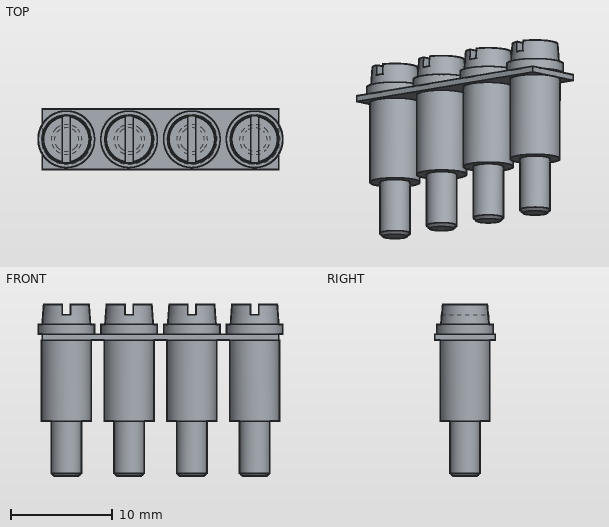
import cadquery as cq

screw_count = 4
overall_length = 24.2
overall_height = 17.0
flange_diameter = 5.6
pitch = (overall_length - flange_diameter) / (screw_count - 1)

plate_length = 23.4
plate_width = 6.0
plate_thickness = 0.58

head_base_diameter = 4.8
head_top_diameter = 4.5
head_height = 1.98
slot_width = 0.8
slot_depth = 1.02
flange_thickness = 0.97

sleeve_diameter = 4.94
sleeve_length = 8.0
pin_diameter = 3.0
tip_chamfer = 0.31

flange_top = overall_height - head_height
plate_top = flange_top - flange_thickness
plate_bottom = plate_top - plate_thickness
sleeve_bottom = plate_bottom - sleeve_length


def make_screw():
    """One screw on the Z axis: a revolved stepped profile with a slotted head.

    The groove between sleeve and flange is filled by the strip, so the wide sleeve
    stays below the strip and does not break through its ends.
    """
    pin_radius = pin_diameter / 2
    sleeve_radius = sleeve_diameter / 2
    flange_radius = flange_diameter / 2
    profile = [
        (0, 0),
        (pin_radius - tip_chamfer, 0),
        (pin_radius, tip_chamfer),
        (pin_radius, sleeve_bottom),
        (sleeve_radius, sleeve_bottom),
        (sleeve_radius, plate_bottom),
        (pin_radius, plate_bottom),
        (pin_radius, plate_top),
        (flange_radius, plate_top),
        (flange_radius, flange_top),
        (head_base_diameter / 2, flange_top),
        (head_top_diameter / 2, overall_height),
        (0, overall_height),
    ]
    body = cq.Workplane("XZ").polyline(profile).close().revolve(360, (0, 0, 0), (0, 1, 0))
    slot = (
        cq.Workplane("XY")
        .workplane(offset=overall_height - slot_depth)
        .rect(slot_width, head_base_diameter)
        .extrude(slot_depth)
    )
    return body.cut(slot)


def make_plate():
    """Flat strip centred on the row of screws."""
    return (
        cq.Workplane("XY")
        .workplane(offset=plate_bottom)
        .rect(plate_length, plate_width)
        .extrude(plate_thickness)
    )


result = make_plate()
screw = make_screw()
for index in range(screw_count):
    screw_x = (index - (screw_count - 1) / 2) * pitch
    result = result.union(screw.translate((screw_x, 0, 0)))